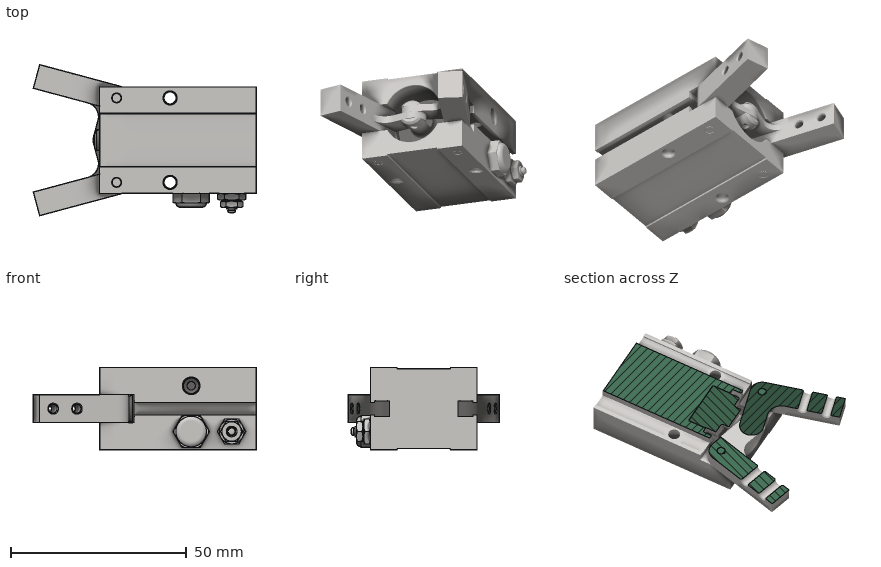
import cadquery as cq
import math


BODY_LENGTH = 44.5
BODY_WIDTH = 30.3
BODY_HEIGHT = 23.5
RELIEF_WIDTH = 15.3
RELIEF_FLOOR_WIDTH = 14.9
RELIEF_DEPTH = 0.4
POCKET_LENGTH = 9.75
JAW_HEIGHT = 8.0
ENTRY_RADIUS = 8.55
ENTRY_CHAMFER = 0.15
ENTRY_DEPTH = 12.5
SIDE_Y = -BODY_WIDTH / 2

SLOT_MOUTH_HEIGHT = 3.5
SLOT_LIP = 1.2
SLOT_HEIGHT = 4.4
SLOT_DEPTH = 5.4

MOUNT_X = 20.0
MOUNT_DIAMETER = 3.4
MOUNT_CHAMFER = 0.3

PIVOT_X = 4.8
PIVOT_Y = 12.0
PIN_DIAMETER = 2.5
PIN_GROOVE_WIDTH = 0.15
PIN_GROOVE_DEPTH = 0.2

PORT_X = 26.0
PORT_Z = 6.5
PORT_RADIUS = 2.2
PORT_CHAMFER = 0.3
PORT_DEPTH = 5.0
PORT_PASSAGE_RADIUS = 1.2
PORT_CONE_LENGTH = 0.6
PORT_TOTAL_DEPTH = 7.0
PLUG_FLATS = 9.0
PLUG_HEX_HEIGHT = 2.65
PLUG_END_RADIUS = 4.9
PLUG_DOME_RADIUS = 4.35
PLUG_DOME_HEIGHT = 1.3
FITTING_X = 37.5
FITTING_REACH = 5.5
FITTING_LOWER_FLATS = 7.0
FITTING_LOWER_HEIGHT = 1.9
FITTING_LOWER_END_RADIUS = 3.5
FITTING_GAP = 0.25
FITTING_UPPER_FLATS = 5.6
FITTING_UPPER_HEIGHT = 1.85
FITTING_UPPER_END_RADIUS = 2.75
FITTING_NECK_RADIUS = 2.3
COLLAR_RADIUS = 1.5
COLLAR_HEIGHT = 0.4
SCREW_NECK_RADIUS = 0.95
SCREW_TIP_RADIUS = 1.15
SCREW_TIP_HEIGHT = 0.7
SCREW_TIP_ROUNDING = 0.65
HEX_CHAMFER_ANGLE = 30.0

OPEN_ANGLE = 15.0
JAW_HALF_WIDTH = 3.5
JAW_REACH = 23.6
LEVER_THICKNESS = 2.0
LEVER_FILLET = 4.0
LEVER_LENGTH = PIVOT_Y / math.cos(math.radians(OPEN_ANGLE))
FINGER_HOLE_DIAMETER = 2.5
FINGER_HOLE_CHAMFER = 0.3
FINGER_HOLE_INSETS = (4.0, 11.0)

ROD_RADIUS = 3.6
ROD_TIP_X = -1.5
ROD_TIP_CHAMFER = 0.6
ROD_ROOT_FLARE = 0.5
ROD_ROOT_LENGTH = 1.0
HEAD_RADIUS = 7.0
HEAD_FRONT_X = 9.3
HEAD_BACK_X = 18.0
ROD_SLOT_END_X = 7.0
ROD_PIN_HOLE_DIAMETER = 2.1
ROD_PIN_X = PIVOT_X - LEVER_LENGTH * math.sin(math.radians(OPEN_ANGLE))


def box_between(x_range, y_range, z_range):
    """Axis-aligned block given by its limits along X, Y and Z."""
    (x0, x1), (y0, y1), (z0, z1) = x_range, y_range, z_range
    return cq.Workplane("XY").box(x1 - x0, y1 - y0, z1 - z0, centered=False).translate((x0, y0, z0))


def turned(profile, x, y, z):
    """Turn a (radius, distance) outline about an axis along Y through a point; distance counts towards -Y."""
    return (
        cq.Workplane("XY")
        .polyline([(radius, -distance) for radius, distance in profile])
        .close()
        .revolve(360, (0, 0, 0), (0, 1, 0))
        .translate((x, y, z))
    )


def hex_nut(flats, height, end_radius, chamfer_base):
    """Hexagon standing on the XZ plane towards -Y, its corners turned down to end_radius at the ends."""
    corner_radius = flats / math.sqrt(3)
    drop = (corner_radius - end_radius) * math.tan(math.radians(HEX_CHAMFER_ANGLE))
    prism = cq.Workplane("XZ").polygon(6, 2 * corner_radius).extrude(height)
    base_profile = [(0, 0), (corner_radius, 0)]
    if chamfer_base:
        base_profile = [(0, 0), (end_radius, 0), (corner_radius, drop)]
    tip_profile = [(corner_radius, height - drop), (end_radius, height), (0, height)]
    return prism.intersect(turned(base_profile + tip_profile, 0, 0, 0))


def make_plug():
    """Hexagonal plug with a rounded cap."""
    cap = (
        cq.Workplane("XZ")
        .circle(PLUG_DOME_RADIUS)
        .extrude(PLUG_HEX_HEIGHT + PLUG_DOME_HEIGHT)
        .faces("<Y")
        .edges()
        .fillet(PLUG_DOME_HEIGHT)
    )
    plug = hex_nut(PLUG_FLATS, PLUG_HEX_HEIGHT, PLUG_END_RADIUS, False).union(cap)
    return plug.translate((PORT_X, SIDE_Y, -PORT_Z))


def make_fitting():
    """Throttle fitting: two stacked hexagons on a neck, then a collar and a screw with a rounded tip."""
    lower = hex_nut(FITTING_LOWER_FLATS, FITTING_LOWER_HEIGHT, FITTING_LOWER_END_RADIUS, True)
    upper_base = FITTING_LOWER_HEIGHT + FITTING_GAP
    upper = hex_nut(FITTING_UPPER_FLATS, FITTING_UPPER_HEIGHT, FITTING_UPPER_END_RADIUS, True)
    upper_top = upper_base + FITTING_UPPER_HEIGHT
    collar_top = upper_top + COLLAR_HEIGHT
    tip_base = FITTING_REACH - SCREW_TIP_HEIGHT
    stem = turned(
        [
            (0, 0),
            (FITTING_NECK_RADIUS, 0),
            (FITTING_NECK_RADIUS, upper_top),
            (COLLAR_RADIUS, upper_top),
            (COLLAR_RADIUS, collar_top),
            (SCREW_NECK_RADIUS, collar_top),
            (SCREW_NECK_RADIUS, tip_base),
            (0, tip_base),
        ],
        0, 0, 0,
    )
    screw_tip = (
        cq.Workplane("XZ", origin=(0, -tip_base, 0))
        .circle(SCREW_TIP_RADIUS)
        .extrude(SCREW_TIP_HEIGHT)
        .faces("<Y")
        .edges()
        .fillet(SCREW_TIP_ROUNDING)
    )
    stem = stem.union(screw_tip)
    fitting = lower.union(upper.translate((0, -upper_base, 0))).union(stem)
    return fitting.translate((FITTING_X, SIDE_Y, -PORT_Z))


def make_port():
    """Cutter for the open air port: chamfered bore with a drill cone and a narrow passage."""
    cone_end = PORT_DEPTH + PORT_CONE_LENGTH
    return turned(
        [
            (0, 0),
            (PORT_RADIUS + PORT_CHAMFER, 0),
            (PORT_RADIUS, -PORT_CHAMFER),
            (PORT_RADIUS, -PORT_DEPTH),
            (PORT_PASSAGE_RADIUS, -cone_end),
            (PORT_PASSAGE_RADIUS, -PORT_TOTAL_DEPTH),
            (0, -PORT_TOTAL_DEPTH),
        ],
        PORT_X, SIDE_Y, PORT_Z,
    )


def make_housing():
    half_width = BODY_WIDTH / 2
    half_height = BODY_HEIGHT / 2
    whole_length = (0, BODY_LENGTH)
    housing = box_between(whole_length, (-half_width, half_width), (-half_height, half_height))

    for face in (-1, 1):
        floor_z = face * (half_height - RELIEF_DEPTH)
        mouth_z = face * half_height
        relief = (
            cq.Workplane("YZ")
            .moveTo(-RELIEF_FLOOR_WIDTH / 2, floor_z)
            .lineTo(RELIEF_FLOOR_WIDTH / 2, floor_z)
            .lineTo(RELIEF_WIDTH / 2, mouth_z)
            .lineTo(-RELIEF_WIDTH / 2, mouth_z)
            .close()
            .extrude(BODY_LENGTH)
        )
        housing = housing.cut(relief)

    pocket_height = (-JAW_HEIGHT / 2, JAW_HEIGHT / 2)
    housing = housing.cut(box_between((0, POCKET_LENGTH), (-half_width, half_width), pocket_height))
    bore_outline = [
        (0, 0),
        (0, ENTRY_RADIUS + ENTRY_CHAMFER),
        (ENTRY_CHAMFER, ENTRY_RADIUS),
        (ENTRY_DEPTH, ENTRY_RADIUS),
        (ENTRY_DEPTH, HEAD_RADIUS),
        (HEAD_BACK_X, HEAD_RADIUS),
        (HEAD_BACK_X, 0),
    ]
    bore = cq.Workplane("XY").polyline(bore_outline).close().revolve(360, (0, 0, 0), (1, 0, 0))
    housing = housing.cut(bore)

    slot_x = (POCKET_LENGTH, BODY_LENGTH)
    mouth = box_between(
        slot_x,
        (-half_width, -half_width + SLOT_LIP),
        (-SLOT_MOUTH_HEIGHT / 2, SLOT_MOUTH_HEIGHT / 2),
    )
    channel = box_between(
        slot_x,
        (-half_width + SLOT_LIP, -half_width + SLOT_DEPTH),
        (-SLOT_HEIGHT / 2, SLOT_HEIGHT / 2),
    )
    slot = mouth.union(channel)
    housing = housing.cut(slot).cut(slot.mirror("XZ"))

    for side in (-1, 1):
        y = side * PIVOT_Y
        hole = cq.Workplane("XY").circle(MOUNT_DIAMETER / 2).extrude(half_height, both=True)
        flare = (
            cq.Workplane("XY", origin=(0, 0, half_height))
            .circle(MOUNT_DIAMETER / 2 + MOUNT_CHAMFER)
            .workplane(offset=-MOUNT_CHAMFER)
            .circle(MOUNT_DIAMETER / 2)
            .loft()
        )
        hole = hole.union(flare).union(flare.mirror("XY"))
        housing = housing.cut(hole.translate((MOUNT_X, y, 0)))

        pin = cq.Workplane("XY").circle(PIN_DIAMETER / 2).extrude(JAW_HEIGHT / 2, both=True)
        groove = (
            cq.Workplane("XY", origin=(0, 0, half_height - PIN_GROOVE_DEPTH))
            .circle(PIN_DIAMETER / 2 + PIN_GROOVE_WIDTH)
            .circle(PIN_DIAMETER / 2)
            .extrude(PIN_GROOVE_DEPTH)
        )
        housing = housing.union(pin.translate((PIVOT_X, y, 0)))
        housing = housing.cut(groove.union(groove.mirror("XY")).translate((PIVOT_X, y, 0)))

    return housing.cut(make_port()).union(make_plug()).union(make_fitting())


def make_piston():
    """Round piston head and rod; the rod is slotted for the jaw levers and cross-drilled for their pin."""
    root_radius = ROD_RADIUS + ROD_ROOT_FLARE
    outline = (
        cq.Workplane("XY")
        .moveTo(ROD_TIP_X, 0)
        .lineTo(ROD_TIP_X, ROD_RADIUS - ROD_TIP_CHAMFER)
        .lineTo(ROD_TIP_X + ROD_TIP_CHAMFER, ROD_RADIUS)
        .lineTo(HEAD_FRONT_X - ROD_ROOT_LENGTH, ROD_RADIUS)
        .tangentArcPoint((HEAD_FRONT_X, root_radius), relative=False)
        .lineTo(HEAD_FRONT_X, HEAD_RADIUS)
        .lineTo(HEAD_BACK_X, HEAD_RADIUS)
        .lineTo(HEAD_BACK_X, 0)
        .close()
    )
    piston = outline.revolve(360, (0, 0, 0), (1, 0, 0))
    slot = box_between(
        (ROD_TIP_X, ROD_SLOT_END_X),
        (-ROD_RADIUS, ROD_RADIUS),
        (-LEVER_THICKNESS, LEVER_THICKNESS),
    )
    pin_hole = cq.Workplane("XY").circle(ROD_PIN_HOLE_DIAMETER / 2).extrude(ROD_RADIUS, both=True)
    pin_hole = pin_hole.translate((ROD_PIN_X, 0, 0))
    return piston.cut(slot).cut(pin_hole)


def make_jaw():
    """Jaw on the -Y side, built closed (finger along -X, lever along +Y from the pivot), then swung open."""
    w = JAW_HALF_WIDTH
    corner = w / math.sqrt(2)
    finger = (
        cq.Workplane("XY", origin=(0, 0, -JAW_HEIGHT / 2))
        .moveTo(-JAW_REACH, -w)
        .lineTo(0, -w)
        .threePointArc((corner, -corner), (w, 0))
        .lineTo(w, w)
        .lineTo(-JAW_REACH, w)
        .close()
        .extrude(JAW_HEIGHT)
    )
    bend = LEVER_FILLET * (1 - 1 / math.sqrt(2))
    lever = (
        cq.Workplane("XY")
        .moveTo(w, w)
        .lineTo(w, LEVER_LENGTH)
        .threePointArc((0, LEVER_LENGTH + w), (-w, LEVER_LENGTH))
        .lineTo(-w, w + LEVER_FILLET)
        .threePointArc((-w - bend, w + bend), (-w - LEVER_FILLET, w))
        .close()
        .extrude(LEVER_THICKNESS)
    )
    jaw = finger.union(lever)
    jaw = jaw.cut(cq.Workplane("XY").circle(PIN_DIAMETER / 2).extrude(JAW_HEIGHT, both=True))

    radius = FINGER_HOLE_DIAMETER / 2
    flare = radius + FINGER_HOLE_CHAMFER
    straight = w - FINGER_HOLE_CHAMFER
    hole_outline = [(0, w), (flare, w), (radius, straight), (radius, -straight), (flare, -w), (0, -w)]
    for inset in FINGER_HOLE_INSETS:
        jaw = jaw.cut(turned(hole_outline, inset - JAW_REACH, 0, 0))

    return jaw.rotate((0, 0, 0), (0, 0, 1), OPEN_ANGLE).translate((PIVOT_X, -PIVOT_Y, 0))


housing = make_housing()
piston = make_piston()

jaws = []
for turn in (0, 180):
    jaws.append(make_jaw().rotate((0, 0, 0), (1, 0, 0), turn))

result = cq.Compound.makeCompound([housing.val(), piston.val(), *[jaw.val() for jaw in jaws]])